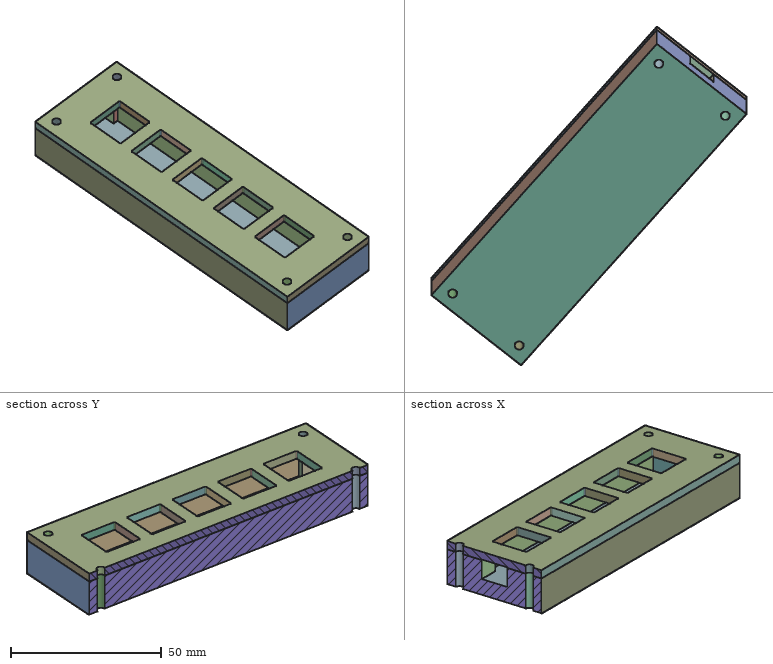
import cadquery as cq

length = 117.0
width = 39.0
height = 16.0
lid_thickness = 3.0
base_height = height - lid_thickness

window_count = 5
window_pitch = 19.1
first_window_x = -38.0
window_size = 14.0
window_corner_radius = 0.4

screw_diameter = 2.9
screw_inset = 5.0

trough_length = 92.0
trough_width = window_size
trough_floor = 6.0
slot_width = 10.2


def box(x_min, x_max, y_size, z_min, z_max):
    """Box centred on Y = 0 between the given X and Z limits."""
    block = cq.Workplane("XY").box(
        x_max - x_min, y_size, z_max - z_min, centered=(False, True, False)
    )
    return block.translate((x_min, 0, z_min))


def drill_screw_holes(body):
    """Cut the four corner screw holes through a body."""
    drills = (
        cq.Workplane("XY")
        .rect(length - 2 * screw_inset, width - 2 * screw_inset, forConstruction=True)
        .vertices()
        .circle(screw_diameter / 2)
        .extrude(height)
    )
    return body.cut(drills)


def make_base():
    """Base block with a long trough and a cable slot through the -X wall, both open at the rim."""
    block = box(-length / 2, length / 2, width, 0, base_height)
    trough = box(-trough_length / 2, trough_length / 2, trough_width, trough_floor, base_height)
    slot = box(-length / 2, -trough_length / 2, slot_width, trough_floor, base_height)
    return drill_screw_holes(block.cut(trough).cut(slot))


def make_window(center_x):
    """Square cutter with slightly rounded corners, as deep as the lid."""
    half_size = window_size / 2
    cutter = box(center_x - half_size, center_x + half_size, window_size, base_height, height)
    return cutter.edges("|Z").fillet(window_corner_radius)


def make_lid():
    """Flat lid with a row of key windows."""
    plate = box(-length / 2, length / 2, width, base_height, height)
    for index in range(window_count):
        plate = plate.cut(make_window(first_window_x + index * window_pitch))
    return drill_screw_holes(plate)


base = make_base()
lid = make_lid()
result = cq.Compound.makeCompound([base.val(), lid.val()])